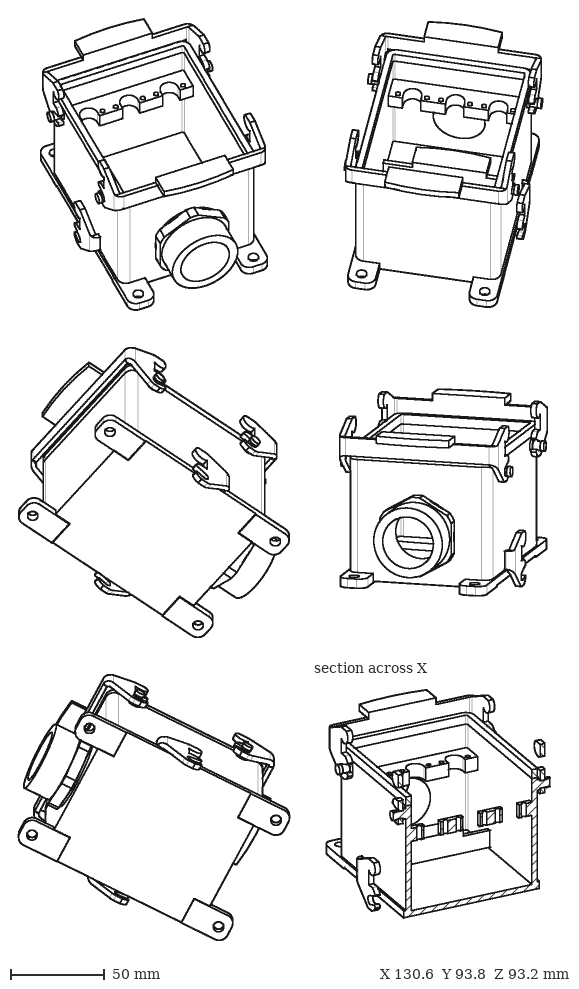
import cadquery as cq
housing_length = 93.3
housing_width = 78.8
wall = 3.5
corner_radius = 5.0
cavity_radius = 1.0
cavity_length = housing_length - 2 * wall
cavity_width = housing_width - 2 * wall
wall_face_x = housing_length / 2
wall_face_y = housing_width / 2

flange_length = 124.5
flange_width = 80.9
flange_top = 5.1
foot_recess = 0.8
foot_width = 15.0
foot_radius = 5.0
foot_inner_x = 37.2
foot_hole_diameter = 5.5
foot_hole_x = 55.9
foot_hole_y = 33.4

seal_top = 71.9
seal_height = 5.2
housing_top = seal_top - seal_height

ledge_top = 52.7
ledge_height = 8.0
ledge_bottom = ledge_top - ledge_height
ledge_inner_x = 30.4
notch_radius = 5.0
notch_straight = 2.9
notch_pitch = 23.4
screw_hole_diameter = 2.5
screw_hole_x = 33.0
screw_hole_offset = 7.8

pin_x = 32.2
pin_z = 62.0
pin_span = 93.8
collar_diameter = 6.5
shaft_diameter = 5.0
head_diameter = 5.5
head_length = 2.0

entry_z = 28.0
entry_end_x = 68.3
shoulder_diameter = 39.0
shoulder_length = 1.3
nut_across_flats = 39.7
nut_diameter = 43.3
nut_length = 6.1
barrel_diameter = 38.0
bore_diameter = 28.0

leg_thickness = 3.0
leg_outer_y = 43.8
leg_inner_y = leg_outer_y - leg_thickness
bar_thickness = 2.5
bar_outer_x = 50.9
bar_inner_x = bar_outer_x - bar_thickness
bar_top = 79.2
bar_bottom = 69.3
bend_outer_radius = 4.0
bend_inner_radius = bend_outer_radius - leg_thickness
bend_start_y = leg_outer_y - bend_outer_radius

leg_top = 85.7
leg_bottom = 56.5
hook_end_x = 27.9
slope_start_x = 34.0
throat_x = 33.8
throat_top = 78.8
throat_bottom = 70.5
claw_tip_x = 26.4
claw_tip_radius = 0.8
slot_angle = 20
slot_length = 15.7
slot_width = shaft_diameter

handle_width = 40.2
handle_thickness = 3.9
handle_side_x = 59.6
handle_middle_x = 61.2

spare_lever_shift = (-32.2, 0, -64.0)


def centred_box(length, width, bottom, top):
    return cq.Workplane("XY", origin=(0, 0, bottom)).rect(length, width).extrude(top - bottom)


def entry_cylinder(diameter, start, end):
    """Cylinder on the axis of the cable entry, from X = start to X = end."""
    return cq.Workplane("YZ", origin=(start, 0, entry_z)).circle(diameter / 2).extrude(end - start)


def pin_cylinder(diameter, start, end):
    """Cylinder on the axis of the +X, +Y pin, from Y = start to Y = end."""
    return cq.Workplane("XZ", origin=(pin_x, start, pin_z)).circle(diameter / 2).extrude(start - end)


def with_mirror_image(shape, plane):
    return shape.union(shape.mirror(plane))


def make_walls(bottom, top):
    walls = centred_box(housing_length, housing_width, bottom, top)
    return walls.edges("|Z").fillet(corner_radius)


def make_cavity(bottom, top):
    cavity = centred_box(cavity_length, cavity_width, bottom, top)
    return cavity.edges("|Z").fillet(cavity_radius)


def make_base():
    """Flange along both long walls, with a drilled foot at each corner."""
    base = centred_box(flange_length, flange_width, 0, flange_top)
    gap_width = flange_width - 2 * foot_width
    gap_length = (flange_length - housing_length) / 2
    for side in (-1, 1):
        gap = centred_box(gap_length, gap_width, 0, flange_top)
        base = base.cut(gap.translate((side * (wall_face_x + gap_length / 2), 0, 0)))
    base = base.edges("|Z").edges("<X or >X").fillet(foot_radius)
    base = base.cut(centred_box(2 * foot_inner_x, flange_width, 0, foot_recess))
    base = base.cut(centred_box(flange_length, gap_width, 0, foot_recess))
    holes = (
        cq.Workplane("XY")
        .rect(2 * foot_hole_x, 2 * foot_hole_y, forConstruction=True)
        .vertices()
        .circle(foot_hole_diameter / 2)
        .extrude(flange_top)
    )
    return base.cut(holes)


def make_ledge():
    """Ledge on the +X wall: three rounded notches with a screw hole on each side."""
    length = cavity_length / 2 - ledge_inner_x
    ledge = centred_box(length, cavity_width, ledge_bottom, ledge_top)
    ledge = ledge.translate((ledge_inner_x + length / 2, 0, 0))
    notch_length = 2 * (notch_straight + notch_radius)
    for y in (-notch_pitch, 0, notch_pitch):
        level = cq.Workplane("XY", origin=(ledge_inner_x, y, ledge_bottom))
        ledge = ledge.cut(level.slot2D(notch_length, 2 * notch_radius).extrude(ledge_height))
    outer_hole_y = notch_pitch + screw_hole_offset
    inner_hole_y = notch_pitch - screw_hole_offset
    for y in (outer_hole_y, inner_hole_y, screw_hole_offset):
        holes = (
            cq.Workplane("XY", origin=(screw_hole_x, 0, ledge_bottom))
            .pushPoints([(0, y), (0, -y)])
            .circle(screw_hole_diameter / 2)
            .extrude(ledge_height)
        )
        ledge = ledge.cut(holes)
    return ledge


def make_pin():
    """Headed pin at +X, +Y, rooted in the wall."""
    pin_end = pin_span / 2
    collar = pin_cylinder(collar_diameter, wall_face_y - wall / 2, leg_inner_y)
    shaft = pin_cylinder(shaft_diameter, wall_face_y, pin_end)
    head = pin_cylinder(head_diameter, pin_end - head_length, pin_end)
    return collar.union(shaft).union(head)


def make_cable_entry():
    """Shoulder, hexagon with turned corners, and plain barrel, still without the bore."""
    nut_start = wall_face_x + shoulder_length
    nut_end = nut_start + nut_length
    shoulder = entry_cylinder(shoulder_diameter, wall_face_x - wall / 2, nut_start)
    hexagon = (
        cq.Workplane("YZ", origin=(nut_start, 0, entry_z))
        .polygon(6, nut_across_flats, circumscribed=True)
        .extrude(nut_length)
    )
    nut = hexagon.intersect(entry_cylinder(nut_diameter, nut_start, nut_end))
    barrel = entry_cylinder(barrel_diameter, nut_end, entry_end_x)
    return shoulder.union(nut).union(barrel)


def make_housing():
    housing = make_walls(foot_recess, housing_top).union(make_base())
    housing = housing.cut(make_cavity(foot_recess + wall, housing_top))
    housing = housing.union(with_mirror_image(make_ledge(), "YZ"))
    pin_pair = with_mirror_image(make_pin(), "YZ")
    housing = housing.union(with_mirror_image(pin_pair, "XZ"))
    housing = housing.union(make_cable_entry())
    return housing.cut(entry_cylinder(bore_diameter, wall_face_x - wall, entry_end_x))


def make_seal():
    return make_walls(housing_top, seal_top).cut(make_cavity(housing_top, seal_top))


def make_leg_profile():
    """Side shape of both legs, extruded across the whole lever."""
    profile = (
        cq.Workplane("XZ", origin=(0, leg_outer_y, 0))
        .moveTo(hook_end_x, leg_top)
        .lineTo(slope_start_x, leg_top)
        .lineTo(bar_inner_x, bar_top)
        .lineTo(bar_outer_x, bar_top)
        .lineTo(bar_outer_x, bar_bottom)
        .lineTo(36.5, 57.8)
        .threePointArc((35.4, 56.9), (34.0, leg_bottom))
        .lineTo(30.1, leg_bottom)
        .threePointArc((28.0, 57.7), (claw_tip_x, 59.6))
        .lineTo(claw_tip_x, 67.3)
        .threePointArc((27.7, 69.3), (29.9, throat_bottom))
        .lineTo(throat_x, throat_bottom)
        .lineTo(throat_x, throat_top)
        .threePointArc((26.6, 80.1), (hook_end_x, leg_top))
        .close()
        .extrude(2 * leg_outer_y)
    )
    slot = (
        cq.Workplane("XZ", origin=(pin_x, leg_outer_y, pin_z))
        .transformed(rotate=(0, 0, -slot_angle))
        .center((slot_width - slot_length) / 2, 0)
        .slot2D(slot_length, slot_width)
        .extrude(2 * leg_outer_y)
    )
    claw_tip = cq.selectors.NearestToPointSelector((claw_tip_x, 0, pin_z))
    return profile.cut(slot).edges("|Y").edges(claw_tip).fillet(claw_tip_radius)


def make_lever():
    """Lever on the +X pair of pins."""
    outside = centred_box(2 * bar_outer_x, 2 * leg_outer_y, 0, leg_top)
    outside = outside.edges("|Z").fillet(bend_outer_radius)
    inside = centred_box(2 * bar_inner_x, 2 * leg_inner_y, 0, leg_top)
    inside = inside.edges("|Z").fillet(bend_inner_radius)
    between_bends = centred_box(2 * bar_outer_x, 2 * bend_start_y, 0, leg_top)
    legs = outside.cut(inside).cut(between_bends).intersect(make_leg_profile())
    bar = centred_box(bar_thickness, 2 * bend_start_y, bar_bottom, bar_top)
    bar = bar.translate((bar_inner_x + bar_thickness / 2, 0, 0))
    handle = (
        cq.Workplane("XY", origin=(0, 0, bar_top))
        .moveTo(bar_inner_x, -handle_width / 2)
        .lineTo(handle_side_x, -handle_width / 2)
        .threePointArc((handle_middle_x, 0), (handle_side_x, handle_width / 2))
        .lineTo(bar_inner_x, handle_width / 2)
        .close()
        .extrude(handle_thickness)
    )
    return legs.union(bar).union(handle)


right_lever = make_lever()
left_lever = right_lever.mirror("YZ")
spare_lever = right_lever.translate(spare_lever_shift)
levers = [right_lever, left_lever, spare_lever]

housing = make_housing().cut(spare_lever)
seal = make_seal()

result = cq.Compound.makeCompound([housing.val(), seal.val(), *[lever.val() for lever in levers]])